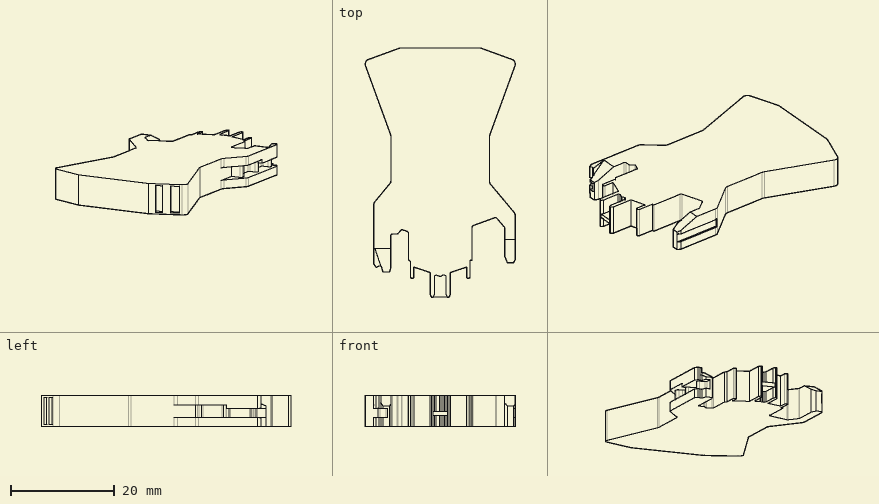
import cadquery as cq
import math

thickness = 6.0
length = 48.1
head_half_width = 14.475
head_end_half_width = 7.7
head_corner_radius = 1.0
head_angle = math.radians(20)
neck_half_width = 9.5
neck_radius = 1.5
shoulder_radius = 1.0
left_shoulder_y = 18.15
left_neck_end_y = 22.2
right_neck_end_y = 22.05
notch_radius = 0.3
small_radius = 0.2
edge_radius = 0.1

left_arm_outer = -12.84
left_arm_inner = -neck_half_width
notch_top_y = 12.18
notch_peak = (-7.4, 13.05)
notch_step_x = -8.25
notch_inner_y = 12.6
left_tip_inner_x = -9.75
left_tip_chamfer_y = 5.7
hook_y = 6.02
hook_inner_x = -11.4
hook_outer_x = -11.8
strip_tip = (-12.36, 5.74)
strip_chamfer_y = 6.45
left_tip_y = 4.87
left_ramp_start_y = 9.37
strip_edge_top = (-12.58, left_ramp_start_y)
strip_edge_bottom = (-11.07, left_tip_y)

right_arm_outer = head_half_width
right_arm_inner = 12.41
right_tip_y = 6.64
right_ramp_start_y = 11.16
right_shoulder_y = 16.1
right_notch_peak = (10.74, 15.4)
right_notch_outer_y = 13.44
right_notch_inner_y = 13.73
right_tip_outer_x = 14.15
right_tip_inner_x = 12.92
right_tip_outer_chamfer_y = 7.3
right_tip_inner_chamfer_y = 7.9

ramp_tip_z = 4.0

slot_floor_z = 1.73
slot_top_z = 4.2
slot_low_top_z = 3.5
slot_step_y = 12.45
slot_inner_wall = -10.2
slot_top_y = 22.6
right_groove_depth = 0.35

slot_ribs = [(17.3, 18.45, -11.7), (12.0, 12.97, -12.0), (6.78, 7.75, -12.0)]
rib_tip_radius = 0.4
rib_root_radius = 0.3

blade_outer = 5.75
blade_inner = 5.08
blade_tip_y = 3.66
blade_root_y = 5.8
blade_tip_radius = 0.25

centre_half_width = 6.16
right_step_y = 7.1
left_step_low_y = 6.9
left_step_high_y = 7.24
plug_half_width = 1.97
plug_root_y = 4.76
fork_half_width = 1.15
fork_flank_y = 4.03
fork_bump_x = 0.85
fork_bump_flat = 0.3
fork_middle_half_width = 0.1
fork_bump_y = 4.32
plug_tip_inner = 1.4
plug_tip_outer = 1.66
plug_tip_chamfer_y = 0.5
web_bottom_z = 2.1
web_thickness = 0.8
web_front_y = 0.05

end_recesses = [(-13.35, -11.7), (-10.25, -8.95)]
end_recess_depth = 1.0
end_recess_margin = 0.36

clearance = 1.0


def rounded_outline(corners):
    """Closed wire through (x, y, radius) corners, each rounded by an arc when its radius is not zero."""
    spans = []
    for i, (x, y, radius) in enumerate(corners):
        corner = cq.Vector(x, y)
        to_previous = (cq.Vector(*corners[i - 1][:2]) - corner).normalized()
        to_next = (cq.Vector(*corners[(i + 1) % len(corners)][:2]) - corner).normalized()
        if radius == 0:
            spans.append((corner, None, corner))
            continue
        half_angle = to_previous.getAngle(to_next) / 2
        tangent_length = radius / math.tan(half_angle)
        bisector = (to_previous + to_next).normalized()
        arc_middle = corner + bisector * (radius / math.sin(half_angle) - radius)
        spans.append((corner + to_previous * tangent_length, arc_middle, corner + to_next * tangent_length))
    outline = cq.Workplane("XY").moveTo(*spans[0][2].toTuple()[:2])
    for start, middle, end in spans[1:] + spans[:1]:
        outline = outline.lineTo(start.x, start.y)
        if middle is not None:
            outline = outline.threePointArc((middle.x, middle.y), (end.x, end.y))
    return outline.close()


def block(x_range, y_range, z_range):
    """Axis-aligned box between the given limits."""
    size = [high - low for low, high in (x_range, y_range, z_range)]
    origin = (x_range[0], y_range[0], z_range[0])
    return cq.Workplane("XY").box(*size, centered=False).translate(origin)


def head_points():
    """Sharp head corner and the Y where head meets neck; the two head edges are square to each other."""
    corner_x = head_half_width - head_corner_radius * (1 - math.cos(head_angle) - math.sin(head_angle))
    corner_y = length - (corner_x - head_end_half_width) * math.tan(head_angle)
    neck_y = corner_y - (corner_x - neck_half_width) / math.tan(head_angle)
    return corner_x, corner_y, neck_y


def body():
    corner_x, corner_y, neck_y = head_points()
    head_left = [
        (-neck_half_width, neck_y, neck_radius),
        (-corner_x, corner_y, head_corner_radius),
        (-head_end_half_width, length, 0),
    ]
    head_right = [(-x, y, radius) for x, y, radius in reversed(head_left)]
    right_arm = [
        (neck_half_width, right_neck_end_y, shoulder_radius),
        (right_arm_outer, right_shoulder_y, shoulder_radius),
        (right_arm_outer, right_tip_outer_chamfer_y, 0),
        (right_tip_outer_x, right_tip_y, 0),
        (right_tip_inner_x, right_tip_y, 0),
        (right_arm_inner, right_tip_inner_chamfer_y, 0),
        (right_arm_inner, right_notch_outer_y, notch_radius),
        (*right_notch_peak, small_radius),
        (centre_half_width, right_notch_inner_y, notch_radius),
    ]
    centre = [
        (centre_half_width, right_step_y, edge_radius),
        (blade_outer, right_step_y, 0),
        (blade_outer, blade_tip_y, blade_tip_radius),
        (blade_inner, blade_tip_y, blade_tip_radius),
        (blade_inner, blade_root_y, 0),
        (plug_half_width, plug_root_y, 0),
        (plug_half_width, plug_tip_chamfer_y, 0),
        (plug_tip_outer, 0, 0),
        (-plug_tip_outer, 0, 0),
        (-plug_half_width, plug_tip_chamfer_y, 0),
        (-plug_half_width, plug_root_y, 0),
        (-blade_inner, blade_root_y, 0),
        (-blade_inner, blade_tip_y, blade_tip_radius),
        (-blade_outer, blade_tip_y, blade_tip_radius),
        (-blade_outer, left_step_low_y, 0),
        (-centre_half_width, left_step_high_y, 0),
        (-centre_half_width, notch_inner_y, notch_radius),
    ]
    left_arm = [
        (*notch_peak, edge_radius),
        (notch_step_x, notch_top_y, small_radius),
        (left_arm_inner, notch_top_y, notch_radius),
        (left_arm_inner, left_tip_chamfer_y, 0),
        (left_tip_inner_x, left_tip_y, 0),
        (*strip_edge_bottom, 0),
        (hook_inner_x, hook_y, 0),
        (hook_outer_x, hook_y, 0),
        (*strip_tip, 0),
        (left_arm_outer, strip_chamfer_y, 0),
        (left_arm_outer, left_shoulder_y, shoulder_radius),
        (-neck_half_width, left_neck_end_y, shoulder_radius),
    ]
    return rounded_outline(head_left + head_right + right_arm + centre + left_arm).extrude(thickness)


def ramp(x_range, start_y, tip_y):
    """Wedge above a slope falling from the top face to the ramp height at an arm tip."""
    slope = (thickness - ramp_tip_z) / (start_y - tip_y)
    end_y = tip_y - clearance
    profile = [
        (start_y, thickness),
        (end_y, ramp_tip_z - slope * clearance),
        (end_y, thickness + clearance),
        (start_y, thickness + clearance),
    ]
    width = x_range[1] - x_range[0]
    return cq.Workplane("YZ").workplane(offset=x_range[0]).polyline(profile).close().extrude(width)


def left_ramp():
    """Ramp beside the upright outer strip of the left arm."""
    inner_x = left_arm_inner + clearance
    drift = (strip_edge_bottom[0] - strip_edge_top[0]) / (left_ramp_start_y - left_tip_y)
    low_y = left_tip_y - clearance
    region = [
        strip_edge_top,
        (strip_edge_bottom[0] + drift * clearance, low_y),
        (inner_x, low_y),
        (inner_x, left_ramp_start_y),
    ]
    wedge = ramp((strip_edge_top[0], inner_x), left_ramp_start_y, left_tip_y)
    return wedge.intersect(cq.Workplane("XY").polyline(region).close().extrude(thickness + clearance))


def right_ramp():
    x_range = (right_arm_inner - clearance, right_arm_outer + clearance)
    return ramp(x_range, right_ramp_start_y, right_tip_y)


def contact_slot():
    """Open slot in the outer flank of the left arm, with the ribs left standing across it."""
    outer_x = left_arm_outer - clearance
    top_rib_y = slot_ribs[0][0]
    high_z = (slot_floor_z, slot_top_z)
    low_z = (slot_floor_z, slot_low_top_z)
    entry = block((outer_x, -neck_half_width), (top_rib_y, slot_top_y), high_z)
    upper = block((outer_x, slot_inner_wall), (slot_step_y, top_rib_y), high_z)
    lower = block((outer_x, slot_inner_wall), (left_tip_y - clearance, slot_step_y), low_z)
    slot = entry.union(upper).union(lower)
    for low_y, high_y, rib_x in slot_ribs:
        rib = block((rib_x, -neck_half_width), (low_y, high_y), (0, thickness))
        slot = slot.cut(rib.edges("|Z and <X").fillet(rib_tip_radius))
    root_corners = cq.selectors.BoxSelector(
        (slot_inner_wall - rib_root_radius, left_tip_y, 0),
        (slot_inner_wall + rib_root_radius, top_rib_y + rib_root_radius, thickness),
    )
    return slot.edges("|Z").edges(root_corners).fillet(rib_root_radius)


def right_groove():
    x_range = (right_arm_outer - right_groove_depth, right_arm_outer + clearance)
    y_range = (right_tip_y - clearance, right_shoulder_y)
    return block(x_range, y_range, (slot_floor_z, slot_low_top_z))


def fork_gap():
    """Gap between the two plug prongs, joined by the thin web left inside it."""
    gap = [
        (-plug_tip_inner, -clearance),
        (-plug_tip_inner, 0),
        (-fork_half_width, plug_tip_chamfer_y),
        (-fork_half_width, fork_flank_y),
        (-fork_bump_x, fork_bump_y),
        (-fork_middle_half_width, fork_flank_y),
        (fork_middle_half_width, fork_flank_y),
        (fork_bump_x - fork_bump_flat, fork_bump_y),
        (fork_bump_x, fork_bump_y),
        (fork_half_width, fork_flank_y),
        (fork_half_width, plug_tip_chamfer_y),
        (plug_tip_inner, 0),
        (plug_tip_inner, -clearance),
    ]
    web_z = (web_bottom_z, web_bottom_z + web_thickness)
    web = block((-plug_half_width, plug_half_width), (web_front_y, plug_root_y), web_z)
    return cq.Workplane("XY").polyline(gap).close().extrude(thickness).cut(web)


def end_recess(outer_x, inner_x):
    """Rectangular recess sunk square into the left sloped end of the head."""
    slope_start = cq.Vector(-head_end_half_width, length)
    along = cq.Vector(-math.cos(head_angle), -math.sin(head_angle))
    inward = cq.Vector(math.sin(head_angle), -math.cos(head_angle))
    points = []
    for x, depth in (
        (outer_x, -clearance),
        (inner_x, -clearance),
        (inner_x, end_recess_depth),
        (outer_x, end_recess_depth),
    ):
        distance = (-head_end_half_width - x) / math.cos(head_angle)
        point = slope_start + along * distance + inward * depth
        points.append((point.x, point.y))
    height = thickness - 2 * end_recess_margin
    return cq.Workplane("XY").workplane(offset=end_recess_margin).polyline(points).close().extrude(height)


result = body().cut(left_ramp()).cut(right_ramp()).cut(contact_slot()).cut(right_groove()).cut(fork_gap())
for recess_outer_x, recess_inner_x in end_recesses:
    result = result.cut(end_recess(recess_outer_x, recess_inner_x))